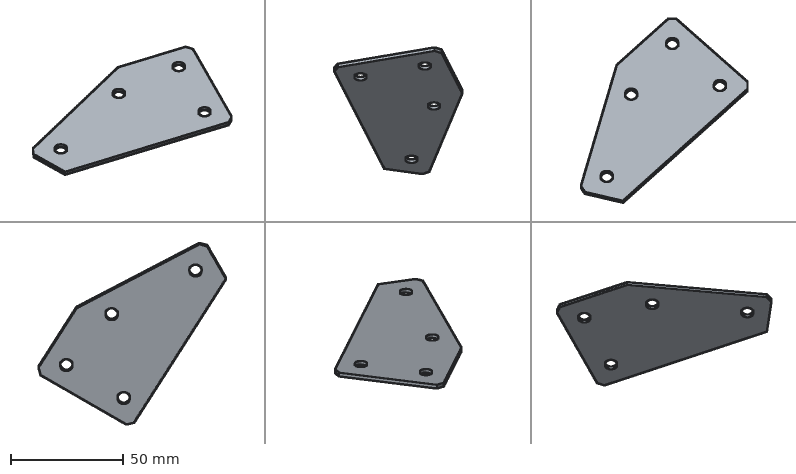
import cadquery as cq
import math

width = 50.0
length = 90.35
thickness = 2.0

left_side_length = 35.2
arm_angle = math.radians(60)
corner_chamfer = 2.5

hole_diameter = 5.5
edge_distance = 10.0
arm_hole_spacing = 42.65

up_arm = cq.Vector(-math.cos(arm_angle), math.sin(arm_angle))
along_end = cq.Vector(math.sin(arm_angle), math.cos(arm_angle))

arm_corner_y = -length - corner_chamfer * along_end.y
arm_corner_x = (-left_side_length - arm_corner_y) / math.tan(arm_angle)
arm_corner = cq.Vector(arm_corner_x, arm_corner_y)
right_side_length = -arm_corner_y - (width - arm_corner_x) * math.tan(math.pi / 2 - arm_angle)

outline = [
    (0, -corner_chamfer),
    (corner_chamfer, 0),
    (width - corner_chamfer, 0),
    (width, -corner_chamfer),
    (width, -right_side_length),
    (arm_corner + along_end * corner_chamfer).toTuple()[:2],
    (arm_corner + up_arm * corner_chamfer).toTuple()[:2],
    (0, -left_side_length),
]
plate = cq.Workplane("XY").polyline(outline).close().extrude(thickness)

lower_arm_hole = arm_corner + (up_arm + along_end) * edge_distance
upper_arm_hole = lower_arm_hole + up_arm * arm_hole_spacing
hole_centers = [
    (edge_distance, -edge_distance),
    (width - edge_distance, -edge_distance),
    lower_arm_hole.toTuple()[:2],
    upper_arm_hole.toTuple()[:2],
]
holes = cq.Workplane("XY").pushPoints(hole_centers).circle(hole_diameter / 2).extrude(thickness)

result = plate.cut(holes)